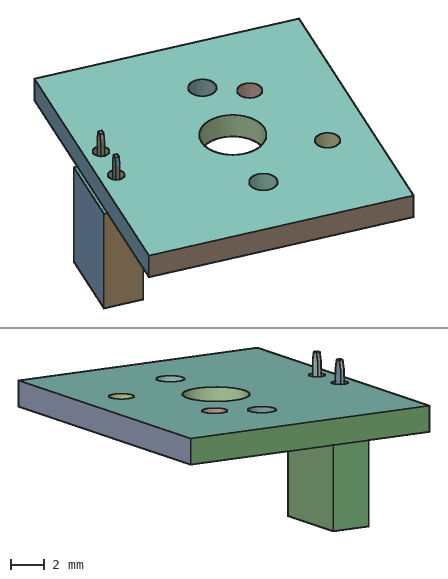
import cadquery as cq

board_width = 19.05
board_depth = 16.88
board_thickness = 1.6
board_center_x = 0.02
board_front_y = -9.01

grid_pitch = 2.53
center_hole_diameter = 4.0
side_hole_diameter = 1.7
contact_hole_diameter = 1.5
pin_hole_diameter = 1.0
side_hole_places = [(-2 * grid_pitch, 0), (2 * grid_pitch, 0)]
contact_hole_places = [(-1.5 * grid_pitch, grid_pitch), (grid_pitch, 2 * grid_pitch)]

block_width = 5.03
block_depth = 2.51
block_height = 7.0
block_overhang = 0.17
block_gap = 0.1
block_center_y = board_front_y - block_overhang + block_depth / 2
block_top_z = -board_thickness - block_gap
channel_width = 1.68
channel_depth = 0.23

pin_width = 0.57
pin_thickness = 0.25
pin_tip_width = 0.3
pin_taper_height = 0.55
pin_height_above_board = 1.41
pin_places = [(-grid_pitch / 2, block_center_y), (grid_pitch / 2, block_center_y)]


def drill(body, places, diameter):
    """Cut round holes down through the full board thickness."""
    cutter = (
        cq.Workplane("XY")
        .pushPoints(places)
        .circle(diameter / 2)
        .extrude(-board_thickness)
    )
    return body.cut(cutter)


def make_board():
    """Rectangular board with all its through holes."""
    board = (
        cq.Workplane("XY")
        .center(board_center_x, board_front_y + board_depth / 2)
        .rect(board_width, board_depth)
        .extrude(-board_thickness)
    )
    board = drill(board, [(0, 0)], center_hole_diameter)
    board = drill(board, side_hole_places, side_hole_diameter)
    board = drill(board, contact_hole_places, contact_hole_diameter)
    return drill(board, pin_places, pin_hole_diameter)


def make_pin(x, y):
    """Flat pin rising from the channel floor, with a tapered tip."""
    foot_z = block_top_z - channel_depth
    shoulder_z = pin_height_above_board - pin_taper_height
    return (
        cq.Workplane("XZ", origin=(x, y, 0))
        .moveTo(-pin_width / 2, foot_z)
        .lineTo(pin_width / 2, foot_z)
        .lineTo(pin_width / 2, shoulder_z)
        .lineTo(pin_tip_width / 2, pin_height_above_board)
        .lineTo(-pin_tip_width / 2, pin_height_above_board)
        .lineTo(-pin_width / 2, shoulder_z)
        .close()
        .extrude(pin_thickness / 2, both=True)
    )


def make_connector():
    """Block with a channel across its top and two pins fixed in the channel floor."""
    block_top = cq.Workplane("XY", origin=(0, block_center_y, block_top_z))
    block = block_top.rect(block_width, block_depth).extrude(-block_height)
    channel = block_top.rect(block_width, channel_width).extrude(-channel_depth)
    connector = block.cut(channel)
    for x, y in pin_places:
        connector = connector.union(make_pin(x, y))
    return connector


board = make_board()
connector = make_connector()

result = cq.Compound.makeCompound([board.solids().val(), connector.solids().val()])